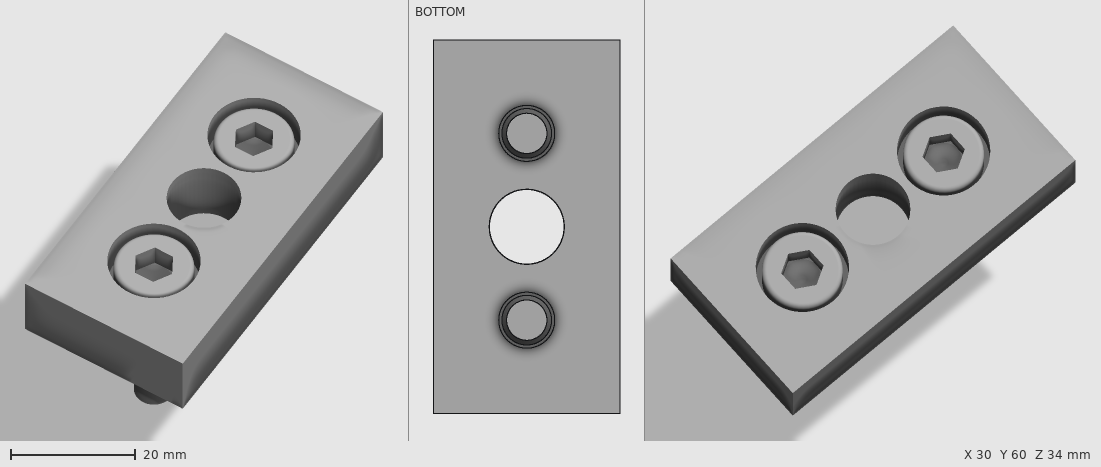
import cadquery as cq
import math

plate_width = 30.0
plate_length = 60.0
plate_thickness = 12.0
center_hole_diameter = 12.0
screw_spacing = plate_length / 2
counterbore_diameter = 15.0
counterbore_depth = 6.0
clearance_diameter = 9.0

head_diameter = 13.0
head_recess = 1.0
head_height = counterbore_depth - head_recess
head_fillet = 0.8
shank_diameter = 8.0
tip_diameter = 6.5
tip_protrusion = 22.0
taper_end_drop = 0.85
taper_height = 1.25
socket_across_flats = 6.0
socket_depth = 4.0
drill_point_angle = 120.0

seat_height = plate_thickness - counterbore_depth
head_top = seat_height + head_height
taper_start = taper_height - taper_end_drop

screw_positions = [(0, -screw_spacing / 2), (0, screw_spacing / 2)]


def make_plate():
    """Rectangular plate with a central hole and two counterbored screw holes."""
    blank = cq.Workplane("XY").box(plate_width, plate_length, plate_thickness, centered=(True, True, False))
    drilled = blank.faces(">Z").workplane().hole(center_hole_diameter)
    return (
        drilled.faces(">Z").workplane(origin=(0, 0, plate_thickness))
        .pushPoints(screw_positions)
        .cboreHole(clearance_diameter, counterbore_diameter, counterbore_depth)
    )


def make_socket():
    """Hexagonal socket ending in a conical drill point."""
    across_corners = socket_across_flats / math.cos(math.pi / 6)
    socket_floor = head_top - socket_depth
    hexagon = (
        cq.Workplane("XY", origin=(0, 0, socket_floor))
        .polygon(6, across_corners)
        .extrude(socket_depth)
    )
    point_radius = socket_across_flats / 2
    point_depth = point_radius / math.tan(math.radians(drill_point_angle / 2))
    drill_point = cq.Solid.makeCone(
        point_radius, 0, point_depth, pnt=cq.Vector(0, 0, socket_floor), dir=cq.Vector(0, 0, -1)
    )
    return hexagon.union(cq.Workplane(drill_point))


def make_screw(position):
    """Socket head screw whose shank tapers to a narrower straight end."""
    head = (
        cq.Workplane("XY", origin=(0, 0, seat_height))
        .circle(head_diameter / 2)
        .extrude(head_height)
        .faces(">Z").edges().fillet(head_fillet)
    )
    shank_radius = shank_diameter / 2
    tip_radius = tip_diameter / 2
    shank = (
        cq.Workplane("XZ")
        .moveTo(0, seat_height)
        .lineTo(shank_radius, seat_height)
        .lineTo(shank_radius, taper_start)
        .lineTo(tip_radius, -taper_end_drop)
        .lineTo(tip_radius, -tip_protrusion)
        .lineTo(0, -tip_protrusion)
        .close()
        .revolve(360, (0, 0, 0), (0, 1, 0))
    )
    x, y = position
    return head.union(shank).cut(make_socket()).translate((x, y, 0))


plate = make_plate()
screws = [make_screw(position) for position in screw_positions]

result = cq.Compound.makeCompound([plate.val(), *[screw.val() for screw in screws]])